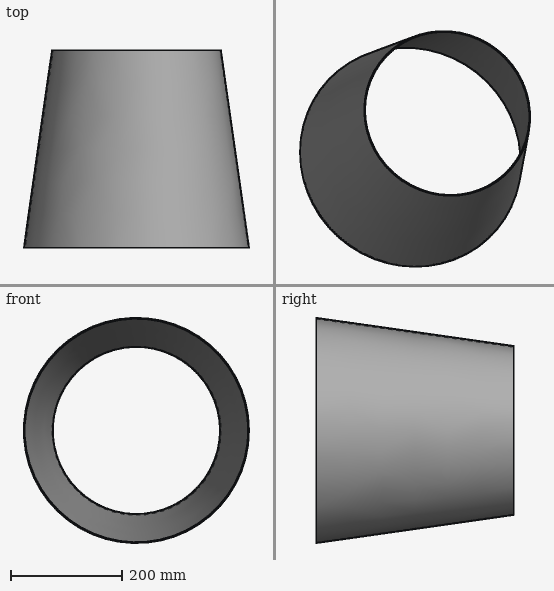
import cadquery as cq

LARGE_DIAMETER = 406.0
SMALL_DIAMETER = 304.5
LENGTH = 356.0
WALL = 2.0

large_radius = LARGE_DIAMETER / 2
small_radius = SMALL_DIAMETER / 2

wall_section = (
    cq.Workplane("XY")
    .moveTo(large_radius - WALL, 0)
    .lineTo(large_radius, 0)
    .lineTo(small_radius, LENGTH)
    .lineTo(small_radius - WALL, LENGTH)
    .close()
)

result = wall_section.revolve(360, (0, 0, 0), (0, 1, 0))